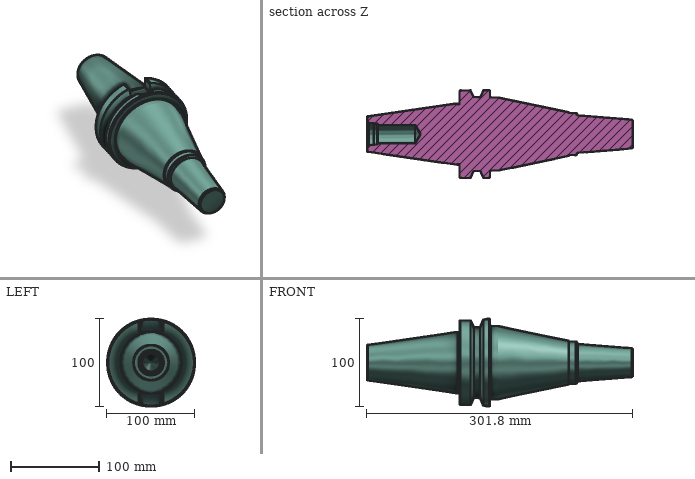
import cadquery as cq
import math

total_length = 301.8
gauge_x = 101.7
flange_start_x = 104.7
flange_end_x = 139.7
nose_cone_start_x = 149.0
collar_start_x = 228.5
collar_end_x = 237.5

gauge_radius = 35.0
taper_slope = 7 / 48
taper_small_radius = gauge_radius - gauge_x * taper_slope
taper_edge_chamfer = 0.5
land_width = 1.0
relief_radius = 34.0

root_bevel = 1.0

flange_diameter = 100.0
flange_radius = flange_diameter / 2
flange_chamfer = 1.2
groove_root_radius = 42.3
groove_centre_x = 124.5
groove_root_width = 7.2
groove_mouth_width = 14.5

shoulder_radius = 41.5
nose_cone_end_radius = 25.0
collar_radius = 24.0
collar_edge_width = 1.0
collar_edge_drop = 0.3
collar_step_width = 1.8
shank_root_radius = 21.5
shank_tip_radius = 16.5
tip_chamfer = 1.5

slot_width = 25.7
slot_floor_z = 35.3
slot_end_x = 135.8
slot_chamfer = 1.2
match_tolerance = 0.03

mouth_radius = 14.5
mouth_bevel_radius = 13.5
mouth_bevel_depth = 0.5
pilot_radius = 12.5
pilot_start = 2.0
pilot_end = 7.2
recess_radius = 11.8
recess_start = 7.8
recess_end = 11.0
thread_radius = 10.3
thread_start = 12.5
thread_depth = 54.3
drill_point_angle = 118.0


def revolve_about_axis(points):
    """Solid of revolution about X from (x, radius) points closed along the axis."""
    return cq.Workplane("XY").polyline(points).close().revolve(360, (0, 0, 0), (1, 0, 0))


def make_body():
    root_half = groove_root_width / 2
    mouth_half = groove_mouth_width / 2
    return revolve_about_axis([
        (0, 0),
        (0, taper_small_radius - taper_edge_chamfer),
        (taper_edge_chamfer, taper_small_radius + taper_edge_chamfer * taper_slope),
        (gauge_x, gauge_radius),
        (gauge_x + land_width, gauge_radius),
        (gauge_x + land_width, relief_radius),
        (flange_start_x - root_bevel, relief_radius),
        (flange_start_x, relief_radius + root_bevel),
        (flange_start_x, flange_radius - flange_chamfer),
        (flange_start_x + flange_chamfer, flange_radius),
        (groove_centre_x - mouth_half, flange_radius),
        (groove_centre_x - root_half, groove_root_radius),
        (groove_centre_x + root_half, groove_root_radius),
        (groove_centre_x + mouth_half, flange_radius),
        (flange_end_x - flange_chamfer, flange_radius),
        (flange_end_x, flange_radius - flange_chamfer),
        (flange_end_x, shoulder_radius + root_bevel),
        (flange_end_x + root_bevel, shoulder_radius),
        (nose_cone_start_x, shoulder_radius),
        (collar_start_x, nose_cone_end_radius),
        (collar_start_x + collar_edge_width, collar_radius),
        (collar_end_x - collar_edge_width, collar_radius),
        (collar_end_x, collar_radius - collar_edge_drop),
        (collar_end_x + collar_step_width, shank_root_radius),
        (total_length - tip_chamfer, shank_tip_radius),
        (total_length, shank_tip_radius - tip_chamfer),
        (total_length, 0),
    ])


def make_drawbar_hole():
    point_length = thread_radius / math.tan(math.radians(drill_point_angle / 2))
    return revolve_about_axis([
        (0, 0),
        (0, mouth_radius),
        (mouth_bevel_depth, mouth_bevel_radius),
        (pilot_start, pilot_radius),
        (pilot_end, pilot_radius),
        (recess_start, recess_radius),
        (recess_end, recess_radius),
        (thread_start, thread_radius),
        (thread_depth, thread_radius),
        (thread_depth + point_length, 0),
    ])


def make_drive_slot():
    half_width = slot_width / 2
    end_centre_x = slot_end_x - half_width
    return (
        cq.Workplane("XY", origin=(0, 0, slot_floor_z))
        .moveTo(flange_start_x, -half_width - slot_chamfer)
        .lineTo(flange_start_x + slot_chamfer, -half_width)
        .lineTo(end_centre_x, -half_width)
        .threePointArc((slot_end_x, 0), (end_centre_x, half_width))
        .lineTo(flange_start_x + slot_chamfer, half_width)
        .lineTo(flange_start_x, half_width + slot_chamfer)
        .close()
        .extrude(flange_radius - slot_floor_z)
    )


def is_slot_rim(edge):
    """True for the slot edges that lie on the outer cylinder of the flange."""
    box = edge.BoundingBox()
    beside_slot = max(abs(box.ymin), abs(box.ymax)) < slot_width / 2 + match_tolerance
    samples = [edge.positionAt(t) for t in (0, 0.5, 1)]
    on_rim = all(abs(math.hypot(p.y, p.z) - flange_radius) < match_tolerance for p in samples)
    return beside_slot and on_rim


result = make_body().cut(make_drawbar_hole())
for turn in (0, 180):
    result = result.cut(make_drive_slot().rotate((0, 0, 0), (1, 0, 0), turn))
slot_rims = [edge for edge in result.edges().vals() if is_slot_rim(edge)]
result = result.newObject(slot_rims).chamfer(slot_chamfer)